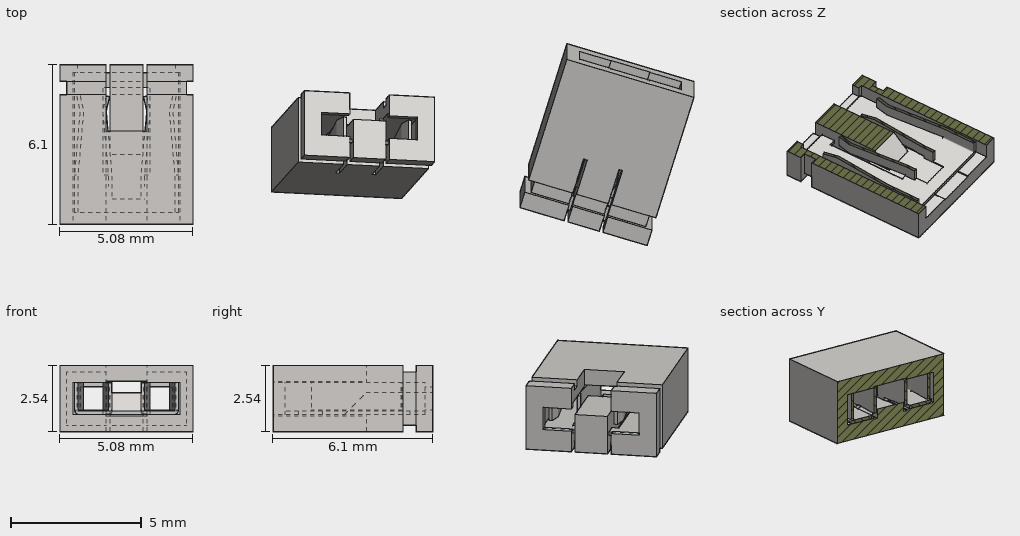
import cadquery as cq
import math


WIDTH = 5.08
LENGTH = 6.1
HEIGHT = 2.54

CAVITY_WIDTH = 4.07
CAVITY_HEIGHT = 1.215
LIP_LENGTH = 0.305
LIP_INSET = 0.165
CAVITY_LENGTH = LENGTH - LIP_LENGTH

SLOT_WIDTH = 1.55
SLOT_LENGTH = 2.54
SLOT_START = LENGTH - SLOT_LENGTH
GROOVE_HEIGHT = 1.31

HEAD_LENGTH = 0.64
NECK_LENGTH = 0.5
NECK_DEPTH = 0.25

TONGUE_WIDTH = 1.26
TONGUE_TOP = 0.23
RAMP_ANGLE = 45.0

SHEET = 0.135
CONTACT_FRONT = 0.46
CONTACT_BOTTOM = -CAVITY_HEIGHT / 2
CONTACT_TOP = CAVITY_HEIGHT / 2
FLOOR_TOP = CONTACT_BOTTOM + SHEET
BEND_RADIUS = 0.04

PIN_OFFSET = 1.27
ROOT_GAP = 0.58
PINCH_GAP = 0.365
TIP_GAP = 0.495
LEAF_FRONT = 1.465
LEAF_BEND = 1.89
LEAF_PINCH = 4.33
LEAF_TIP = 4.91
LEAF_CLEARANCE = 0.035
CONTACT_WIDTH = 2 * (PIN_OFFSET + ROOT_GAP + SHEET)

WINDOW_FRONT = 0.975
WINDOW_REAR = 5.22
WINDOW_NARROW = 2 * (PIN_OFFSET - ROOT_GAP - SHEET)
WINDOW_WIDE = 2 * (PIN_OFFSET - PINCH_GAP)


def block(width, y_start, y_end, z_bottom, z_top):
    """Box centred on X = 0 between the given Y and Z limits."""
    return (
        cq.Workplane("XY")
        .box(width, y_end - y_start, z_top - z_bottom, centered=(True, False, False))
        .translate((0, y_start, z_bottom))
    )


def level_block(width, height, y_start, y_end):
    """Box centred on X = 0 and Z = 0."""
    return block(width, y_start, y_end, -height / 2, height / 2)


def neck_groove():
    start = LENGTH - HEAD_LENGTH - NECK_LENGTH
    end = LENGTH - HEAD_LENGTH
    core = level_block(WIDTH - 2 * NECK_DEPTH, HEIGHT - 2 * NECK_DEPTH, start, end)
    return level_block(WIDTH, HEIGHT, start, end).cut(core)


def cavity():
    main = level_block(CAVITY_WIDTH, CAVITY_HEIGHT, 0, CAVITY_LENGTH)
    grooves = level_block(SLOT_WIDTH, GROOVE_HEIGHT, 0, SLOT_START)
    rear_opening = level_block(
        CAVITY_WIDTH - 2 * LIP_INSET, CAVITY_HEIGHT - 2 * LIP_INSET, CAVITY_LENGTH, LENGTH
    )
    return main.union(grooves).union(rear_opening)


def tongue():
    """Beam along the slot bottom with a ramp facing the mouth and a gap for the contact strap."""
    ramp_foot = -GROOVE_HEIGHT / 2
    ramp_length = (TONGUE_TOP - ramp_foot) / math.tan(math.radians(RAMP_ANGLE))
    beam = (
        cq.Workplane("YZ")
        .moveTo(SLOT_START - ramp_length, ramp_foot)
        .lineTo(SLOT_START, TONGUE_TOP)
        .lineTo(LENGTH, TONGUE_TOP)
        .lineTo(LENGTH, -HEIGHT / 2)
        .lineTo(SLOT_START - ramp_length, -HEIGHT / 2)
        .close()
        .extrude(TONGUE_WIDTH / 2, both=True)
    )
    strap_gap = block(TONGUE_WIDTH, WINDOW_REAR, CAVITY_LENGTH, CONTACT_BOTTOM, FLOOR_TOP)
    return beam.cut(strap_gap)


def make_housing():
    body = level_block(WIDTH, HEIGHT, 0, LENGTH)
    body = body.cut(cavity())
    body = body.cut(level_block(SLOT_WIDTH, HEIGHT, SLOT_START, LENGTH))
    body = body.union(tongue())
    return body.cut(neck_groove())


def channel():
    """Floor and two side walls; the walls end where the leaves bend in."""
    outer = block(CONTACT_WIDTH, CONTACT_FRONT, CAVITY_LENGTH, CONTACT_BOTTOM, CONTACT_TOP)
    outer = outer.edges("|Y and <Z").fillet(BEND_RADIUS + SHEET)
    inner = block(CONTACT_WIDTH - 2 * SHEET, CONTACT_FRONT, CAVITY_LENGTH, FLOOR_TOP, CONTACT_TOP)
    inner = inner.edges("|Y and <Z").fillet(BEND_RADIUS)
    behind_walls = block(CONTACT_WIDTH, LEAF_BEND, CAVITY_LENGTH, FLOOR_TOP, CONTACT_TOP)
    return outer.cut(inner).cut(behind_walls)


def floor_window():
    """Opening whose narrow part has side edges rounded below, where the leaf roots bend up."""
    top_edge = WINDOW_NARROW / 2
    bottom_edge = top_edge + SHEET
    arc_offset = SHEET * (1 - math.sqrt(0.5))
    arc_x = top_edge + arc_offset
    arc_z = CONTACT_BOTTOM + arc_offset
    narrow = (
        cq.Workplane("XZ", origin=(0, WINDOW_FRONT, 0))
        .moveTo(-top_edge, FLOOR_TOP)
        .lineTo(top_edge, FLOOR_TOP)
        .threePointArc((arc_x, arc_z), (bottom_edge, CONTACT_BOTTOM))
        .lineTo(-bottom_edge, CONTACT_BOTTOM)
        .threePointArc((-arc_x, arc_z), (-top_edge, FLOOR_TOP))
        .close()
        .extrude(WINDOW_FRONT - LEAF_BEND)
    )
    wide = block(WINDOW_WIDE, LEAF_BEND, WINDOW_REAR, CONTACT_BOTTOM, FLOOR_TOP)
    return narrow.union(wide)


def spring_leaf(pin_x, side):
    """Leaf on one side of a pin: straight root, bend in to the pinch line, flare out to the tip."""
    flare = math.atan2(TIP_GAP - PINCH_GAP, LEAF_TIP - LEAF_PINCH)
    gap_points = [
        (ROOT_GAP, LEAF_FRONT),
        (ROOT_GAP, LEAF_BEND),
        (PINCH_GAP, LEAF_PINCH),
        (TIP_GAP, LEAF_TIP),
        (TIP_GAP + SHEET * math.cos(flare), LEAF_TIP - SHEET * math.sin(flare)),
        (PINCH_GAP + SHEET, LEAF_PINCH),
        (ROOT_GAP + SHEET, LEAF_BEND),
        (ROOT_GAP + SHEET, LEAF_FRONT),
    ]
    outline = [(pin_x + side * gap, y) for gap, y in gap_points]
    leaf_bottom = FLOOR_TOP + LEAF_CLEARANCE
    return (
        cq.Workplane("XY", origin=(0, 0, leaf_bottom))
        .polyline(outline)
        .close()
        .extrude(CONTACT_TOP - leaf_bottom)
    )


def leaf_root(side):
    """Foot that joins an inner leaf to the floor beside the window."""
    foot = block(SHEET, LEAF_FRONT, LEAF_BEND, FLOOR_TOP, FLOOR_TOP + LEAF_CLEARANCE)
    return foot.translate((side * (WINDOW_NARROW + SHEET) / 2, 0, 0))


def make_contact():
    body = channel().cut(floor_window())
    for pin_side in (-1, 1):
        body = body.union(leaf_root(pin_side))
        for leaf_side in (-1, 1):
            body = body.union(spring_leaf(pin_side * PIN_OFFSET, leaf_side))
    return body


housing = make_housing()
contact = make_contact()

result = cq.Compound.makeCompound([housing.val(), contact.val()])